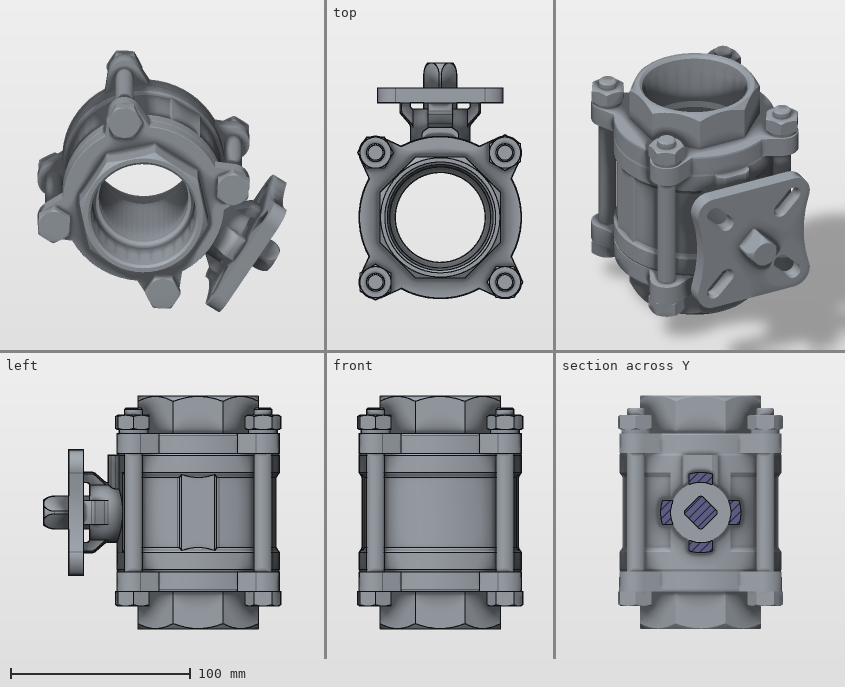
import cadquery as cq
import math


end_z = 65.0
octagon_flats = 67.2
octagon_turn = 180 / 8
octagon_chamfer_radius = 33.25

bore_diameter = 50.0
socket_mouth_radius = 30.9
socket_top_radius = 29.5
socket_bottom_radius = 28.1
socket_depth = 28.0
socket_seat_depth = 30.0

flange_diameter = 90.5
flange_inner_z = 33.0
flange_outer_z = 44.0
flange_edge_height = 1.0
flange_edge_width = 0.3
bolt_circle_diameter = 102.0
bolt_offset = bolt_circle_diameter / 2 * math.sin(math.radians(45))
lug_radius = 9.2
lug_root_x = 21.8

ring_edge_width = 0.5
ring_edge_height = 1.3
ring_inner_z = 22.15
body_radius = 43.5
body_neck_z = 19.5
ring_step_radius = 44.3
ring_step_z = 20.9
pad_half_width = 9.2
pad_side_width = 1.1
pad_foot_width = 1.3
stem_pad_half_width = 16.8

rod_diameter = 10.0
rod_end_z = 58.1
rod_end_chamfer = 0.8
hex_corners = 20.0
hex_height = 8.1
hex_chamfer_slope = math.tan(math.radians(30))
washer_diameter = 16.0
washer_thickness = 2.1

neck_diameter = 33.3
neck_top_y = 60.4
plate_size = 70.0
plate_bottom_y = 63.8
plate_top_y = 72.2
plate_corner_radius = 10.0
plate_waist_z = 22.0
slot_diameter = 9.0
slot_inner_radius = 24.0
slot_outer_radius = 35.0
arm_width = 13.6
arm_outer_radius = 22.5
arm_inner_radius = 18.0
arm_knee_y = 58.2
arm_foot_y = 51.4
arm_fillet = 3.0
arm_inner_fillet = 1.75

overall_y = 132.15
stem_diameter = 18.4
stem_flats = 14.0
stem_top_y = overall_y - bolt_offset - hex_corners / 2
stem_top_radius = 7.0
stem_dome_height = 6.2

stop_half_width = 10.15
stop_top_y = 50.2
stop_top_half_width = 6.3
stop_shoulder_y = 47.6
stop_fillet = 3.0
stop_end_z = 31.9

flange_radius = flange_diameter / 2
bore_radius = bore_diameter / 2


def revolve_z(points):
    """Solid of revolution about Z from (radius, z) points."""
    return cq.Workplane("XZ").polyline(points).close().revolve(360, (0, 0, 0), (0, 1, 0))


def both_ends(upper):
    """The given part of the upper half together with its mirror image below."""
    return upper.union(upper.mirror("XY"))


def octagon_end():
    """Upper octagonal pipe end with its conical corner chamfer."""
    corner_diameter = octagon_flats / math.cos(math.radians(octagon_turn))
    octagon = (
        cq.Workplane("XY")
        .polygon(8, corner_diameter)
        .extrude(end_z)
        .rotate((0, 0, 0), (0, 0, 1), octagon_turn)
    )
    cone = revolve_z([
        (0, 0),
        (octagon_chamfer_radius + end_z, 0),
        (octagon_chamfer_radius, end_z),
        (0, end_z),
    ])
    return octagon.intersect(cone)


def lug():
    """Bolt lug in the +X +Y corner, with sides tangent to its rounded end."""
    root_y = math.sqrt(flange_radius**2 - lug_root_x**2)
    dx = bolt_offset - lug_root_x
    dy = bolt_offset - root_y
    distance = math.hypot(dx, dy)
    tangent_angle = math.atan2(-dy, -dx) - math.acos(lug_radius / distance)
    tangent_x = bolt_offset + lug_radius * math.cos(tangent_angle)
    tangent_y = bolt_offset + lug_radius * math.sin(tangent_angle)
    tip = bolt_offset + lug_radius * math.sin(math.radians(45))
    return (
        cq.Workplane("XY", origin=(0, 0, flange_inner_z))
        .lineTo(lug_root_x, root_y)
        .lineTo(tangent_x, tangent_y)
        .threePointArc((tip, tip), (tangent_y, tangent_x))
        .lineTo(root_y, lug_root_x)
        .close()
        .extrude(flange_outer_z - flange_inner_z)
    )


def flange():
    """Upper flange disc with a lug in each corner."""
    disc = revolve_z([
        (0, flange_inner_z),
        (flange_radius, flange_inner_z),
        (flange_radius, flange_outer_z - flange_edge_height),
        (flange_radius - flange_edge_width, flange_outer_z),
        (0, flange_outer_z),
    ])
    for quarter in range(4):
        disc = disc.union(lug().rotate((0, 0, 0), (0, 0, 1), 90 * quarter))
    return disc


def half_body():
    """Upper half of the body: a waist below a wider seat ring."""
    return revolve_z([
        (0, 0),
        (body_radius, 0),
        (body_radius, body_neck_z),
        (ring_step_radius, ring_step_z),
        (flange_radius, ring_inner_z),
        (flange_radius, flange_inner_z - ring_edge_height),
        (flange_radius - ring_edge_width, flange_inner_z),
        (0, flange_inner_z),
    ])


def side_pad():
    """Raised flat pad along the -X side of the body waist."""
    shoulder_y = pad_half_width + pad_side_width
    foot_y = shoulder_y + pad_foot_width
    shoulder_x = body_radius - pad_side_width
    foot_x = math.sqrt(body_radius**2 - foot_y**2)
    return (
        cq.Workplane("XY", origin=(0, 0, -ring_inner_z))
        .polyline([
            (0, -foot_y),
            (-foot_x, -foot_y),
            (-shoulder_x, -shoulder_y),
            (-body_radius, -pad_half_width),
            (-body_radius, pad_half_width),
            (-shoulder_x, shoulder_y),
            (-foot_x, foot_y),
            (0, foot_y),
        ])
        .close()
        .extrude(2 * ring_inner_z)
    )


def stem_pad():
    """Full-width sector of the body, flush with the seat rings, around the stem neck."""
    height = 2 * ring_inner_z
    sector = cq.Workplane("XY").circle(flange_radius).extrude(height)
    limits = cq.Workplane("XY").rect(2 * stem_pad_half_width, flange_radius).extrude(height)
    limits = limits.translate((0, flange_radius / 2, 0))
    return sector.intersect(limits).translate((0, 0, -ring_inner_z))


def bore_cutter():
    """Through bore with a tapered socket and conical seat at each end."""
    mouth_chamfer = socket_mouth_radius - socket_top_radius
    upper = revolve_z([
        (0, 0),
        (bore_radius, 0),
        (bore_radius, end_z - socket_seat_depth),
        (socket_bottom_radius, end_z - socket_depth),
        (socket_top_radius, end_z - mouth_chamfer),
        (socket_mouth_radius, end_z),
        (0, end_z),
    ])
    return both_ends(upper)


def hexagon(bottom_z, chamfer_bottom, chamfer_top):
    """Hexagon on the Z axis with chamfered corners on the chosen faces."""
    corner = hex_corners / 2
    flat = corner * math.cos(math.radians(30))
    drop = (corner - flat) * hex_chamfer_slope
    top_z = bottom_z + hex_height
    outline = [(0, bottom_z)]
    if chamfer_bottom:
        outline += [(flat, bottom_z), (corner, bottom_z + drop)]
    else:
        outline += [(corner, bottom_z)]
    if chamfer_top:
        outline += [(corner, top_z - drop), (flat, top_z)]
    else:
        outline += [(corner, top_z)]
    outline += [(0, top_z)]
    prism = cq.Workplane("XY", origin=(0, 0, bottom_z)).polygon(6, hex_corners).extrude(hex_height)
    return prism.intersect(revolve_z(outline))


def bolt():
    """Bolt on the Z axis with its head below, and washer and nut above."""
    head_z = -flange_outer_z - hex_height
    nut_z = flange_outer_z + washer_thickness
    rod = (
        cq.Workplane("XY", origin=(0, 0, head_z))
        .circle(rod_diameter / 2)
        .extrude(rod_end_z - head_z)
        .faces(">Z")
        .chamfer(rod_end_chamfer)
    )
    washer = (
        cq.Workplane("XY", origin=(0, 0, flange_outer_z))
        .circle(washer_diameter / 2)
        .extrude(washer_thickness)
    )
    head = hexagon(head_z, True, False)
    nut = hexagon(nut_z, True, True)
    return rod.union(washer).union(head).union(nut)


def bolt_in_quarter(quarter):
    """Bolt turned about the pipe axis; the +X +Y bolt has hexagon corners along Y."""
    return (
        bolt()
        .rotate((0, 0, 0), (0, 0, 1), 90)
        .translate((bolt_offset, bolt_offset, 0))
        .rotate((0, 0, 0), (0, 0, 1), 90 * quarter)
    )


def neck():
    """Round neck around the stem, rising from the pipe axis."""
    return (
        cq.Workplane("XZ", origin=(0, neck_top_y, 0))
        .circle(neck_diameter / 2)
        .extrude(neck_top_y)
    )


def mounting_plate():
    """Plate with round corners, waisted -X and +X sides and four diagonal slots."""
    half = plate_size / 2
    center = half - plate_corner_radius
    waist_sin = (center - plate_waist_z) / plate_corner_radius
    waist_angle = math.asin(waist_sin)
    waist_radius = plate_waist_z / waist_sin
    tangent_x = center + plate_corner_radius * math.cos(waist_angle)
    waist_x = tangent_x - waist_radius * (1 - math.cos(waist_angle))
    diagonal = center + plate_corner_radius * math.sin(math.radians(45))
    plate = (
        cq.Workplane("XZ", origin=(0, plate_top_y, 0))
        .moveTo(-center, half)
        .lineTo(center, half)
        .threePointArc((diagonal, diagonal), (tangent_x, plate_waist_z))
        .threePointArc((waist_x, 0), (tangent_x, -plate_waist_z))
        .threePointArc((diagonal, -diagonal), (center, -half))
        .lineTo(-center, -half)
        .threePointArc((-diagonal, -diagonal), (-tangent_x, -plate_waist_z))
        .threePointArc((-waist_x, 0), (-tangent_x, plate_waist_z))
        .threePointArc((-diagonal, diagonal), (-center, half))
        .close()
        .extrude(plate_top_y - plate_bottom_y)
    )
    slot_length = slot_outer_radius - slot_inner_radius + slot_diameter
    slot_middle = (slot_outer_radius + slot_inner_radius) / 2
    slots = (
        cq.Workplane("XZ", origin=(0, plate_top_y, 0))
        .polarArray(slot_middle, 45, 360, 4)
        .slot2D(slot_length, slot_diameter)
        .extrude(plate_top_y - plate_bottom_y)
    )
    return plate.cut(slots)


def plate_arms():
    """Four arms that carry the plate, cut from a turned bracket by a cross."""
    fillet_reach = arm_inner_fillet * math.sin(math.radians(45))
    fillet_center_r = arm_inner_radius - arm_inner_fillet
    fillet_center_y = neck_top_y + arm_inner_fillet
    fillet_mid = (fillet_center_r + fillet_reach, fillet_center_y - fillet_reach)
    slope_angle = math.atan2(arm_outer_radius - neck_diameter / 2, arm_knee_y - arm_foot_y)
    root_y = arm_foot_y - arm_fillet * math.tan(slope_angle / 2)
    bracket = (
        cq.Workplane("XY")
        .lineTo(neck_diameter / 2, 0)
        .lineTo(neck_diameter / 2, arm_foot_y)
        .lineTo(arm_outer_radius, arm_knee_y)
        .lineTo(arm_outer_radius, plate_bottom_y)
        .lineTo(arm_inner_radius, plate_bottom_y)
        .lineTo(arm_inner_radius, fillet_center_y)
        .threePointArc(fillet_mid, (fillet_center_r, neck_top_y))
        .lineTo(0, neck_top_y)
        .close()
        .revolve(360, (0, 0, 0), (0, 1, 0))
    )
    for bend_y in (arm_foot_y, arm_knee_y):
        bend_edge = cq.selectors.NearestToPointSelector((0, bend_y, 0))
        bracket = bracket.edges(bend_edge).fillet(arm_fillet)
    reach = 2 * arm_outer_radius
    height = plate_bottom_y - root_y
    cross = cq.Workplane("XY").box(reach, height, arm_width).union(
        cq.Workplane("XY").box(arm_width, height, reach)
    )
    return bracket.intersect(cross.translate((0, root_y + height / 2, 0)))


def stem():
    """Stem with a square end set on its corner and a domed tip."""
    radius = stem_diameter / 2
    dome_width = radius - stem_top_radius
    dome_radius = (dome_width**2 + stem_dome_height**2) / (2 * dome_width)
    dome_base_y = stem_top_y - stem_dome_height
    half_angle = math.asin(stem_dome_height / dome_radius) / 2
    dome_mid = (
        radius - dome_radius * (1 - math.cos(half_angle)),
        dome_base_y + dome_radius * math.sin(half_angle),
    )
    round_stem = (
        cq.Workplane("XY")
        .moveTo(0, neck_top_y)
        .lineTo(radius, neck_top_y)
        .lineTo(radius, dome_base_y)
        .threePointArc(dome_mid, (stem_top_radius, stem_top_y))
        .lineTo(0, stem_top_y)
        .close()
        .revolve(360, (0, 0, 0), (0, 1, 0))
    )
    square = (
        cq.Workplane("XZ", origin=(0, stem_top_y, 0))
        .rect(stem_flats, stem_flats)
        .extrude(stem_top_y - neck_top_y)
        .rotate((0, 0, 0), (0, 1, 0), 45)
    )
    return round_stem.intersect(square)


def stop_block():
    """Block with sloped, rounded shoulders, running from the neck towards the +Z flange."""
    block = (
        cq.Workplane("XY")
        .polyline([
            (-stop_half_width, 0),
            (-stop_half_width, stop_shoulder_y),
            (-stop_top_half_width, stop_top_y),
            (stop_top_half_width, stop_top_y),
            (stop_half_width, stop_shoulder_y),
            (stop_half_width, 0),
        ])
        .close()
        .extrude(stop_end_z)
    )
    for side in (-1, 1):
        shoulder = (side * stop_half_width, stop_shoulder_y, stop_end_z / 2)
        block = block.edges(cq.selectors.NearestToPointSelector(shoulder)).fillet(stop_fillet)
    return block


result = both_ends(octagon_end().union(flange()).union(half_body()))
result = result.union(side_pad()).union(side_pad().mirror("YZ")).union(stem_pad())
result = result.union(neck())
result = result.union(stop_block())
result = result.cut(bore_cutter())
for quarter in range(4):
    result = result.union(bolt_in_quarter(quarter))
result = result.union(plate_arms())
result = result.union(mounting_plate())
result = result.union(stem())